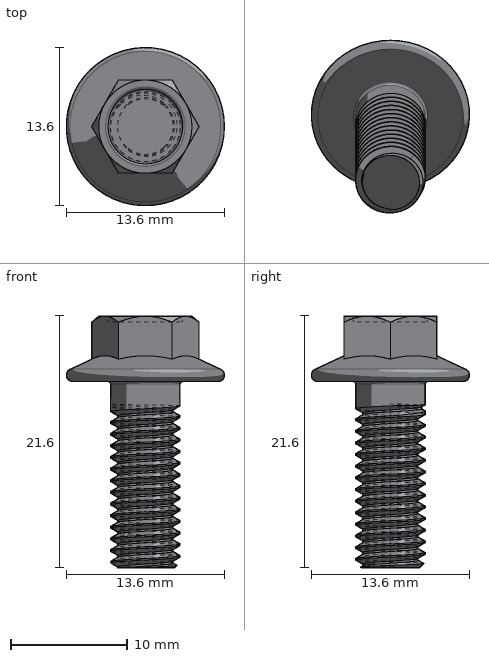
import cadquery as cq
import math

total_length = 21.63
head_bearing_z = 16.0

flange_radius = 13.6 / 2
rim_round = 0.56
flange_slope = math.radians(25)

across_flats = 8.0
head_chamfer_angle = math.radians(39.5)

recess_radius = 6.4 / 2
recess_depth = 0.5
recess_mouth_round = 0.22
recess_floor_round = 0.13

shank_radius = 6.0 / 2
neck_fillet = 0.205
tip_chamfer = 0.5

full_thread_end_z = 13.5
turns_above_tip = 13.5
pitch = full_thread_end_z / turns_above_tip
thread_depth = 0.6
flank_angle = math.radians(30)
crest_flat = pitch / 8
cutter_overhang = 0.06
turns_below_tip = 1.5
turns_per_length = 1
runout_turns = 0.5


def flange_and_shank():
    """Revolved body: chamfered tip, shank, neck fillet and conical flange with a rounded rim."""
    rim_center_x = flange_radius - rim_round
    rim_center_z = head_bearing_z + rim_round
    rim_top_x = rim_center_x + rim_round * math.sin(flange_slope)
    rim_top_z = rim_center_z + rim_round * math.cos(flange_slope)
    cone_top_radius = 0.4 * across_flats
    cone_top_z = rim_top_z + (rim_top_x - cone_top_radius) * math.tan(flange_slope)
    fillet_mid = neck_fillet * (1 - math.sqrt(0.5))
    return (
        cq.Workplane("XZ")
        .lineTo(shank_radius - tip_chamfer, 0)
        .lineTo(shank_radius, tip_chamfer)
        .lineTo(shank_radius, head_bearing_z - neck_fillet)
        .threePointArc(
            (shank_radius + fillet_mid, head_bearing_z - fillet_mid),
            (shank_radius + neck_fillet, head_bearing_z),
        )
        .lineTo(rim_center_x, head_bearing_z)
        .threePointArc((flange_radius, rim_center_z), (rim_top_x, rim_top_z))
        .lineTo(cone_top_radius, cone_top_z)
        .lineTo(0, cone_top_z)
        .close()
        .revolve(360, (0, 0), (0, 1))
    )


def hex_head():
    """Hexagon with corners on X, its top corners turned down to a cone."""
    flat_radius = across_flats / 2
    across_corners = across_flats / math.cos(math.pi / 6)
    base_z = head_bearing_z + rim_round
    prism = (
        cq.Workplane("XY", origin=(0, 0, base_z))
        .polygon(6, across_corners)
        .extrude(total_length - base_z)
    )
    turned_radius = across_corners
    turned_drop = (turned_radius - flat_radius) * math.tan(head_chamfer_angle)
    turned_envelope = (
        cq.Workplane("XZ")
        .moveTo(0, 0)
        .lineTo(turned_radius, 0)
        .lineTo(turned_radius, total_length - turned_drop)
        .lineTo(flat_radius, total_length)
        .lineTo(0, total_length)
        .close()
        .revolve(360, (0, 0), (0, 1))
    )
    return prism.intersect(turned_envelope)


def head_recess():
    """Shallow round recess with a rounded mouth and a rounded floor edge."""
    floor_z = total_length - recess_depth
    mouth_mid = recess_mouth_round * (1 - math.sqrt(0.5))
    floor_mid = recess_floor_round * (1 - math.sqrt(0.5))
    return (
        cq.Workplane("XZ")
        .moveTo(0, floor_z)
        .lineTo(recess_radius - recess_floor_round, floor_z)
        .threePointArc(
            (recess_radius - floor_mid, floor_z + floor_mid),
            (recess_radius, floor_z + recess_floor_round),
        )
        .lineTo(recess_radius, total_length - recess_mouth_round)
        .threePointArc(
            (recess_radius + mouth_mid, total_length - mouth_mid),
            (recess_radius + recess_mouth_round, total_length),
        )
        .lineTo(0, total_length)
        .close()
        .revolve(360, (0, 0), (0, 1))
    )


def end_cap(points):
    return cq.Face.makeFromWires(cq.Wire.makePolygon(points, close=True))


def helical_solid(corners, start_z, turns, radial_growth=0):
    """Solid swept by a polygon along a helix that may widen as it climbs."""
    rise = turns * pitch
    cone_angle = math.atan2(radial_growth, rise)
    slant = 1 / math.cos(cone_angle)
    helix_angle = math.degrees(cone_angle) or 360
    edges = []
    for radius, z in corners:
        center = cq.Vector(0, 0, start_z + z)
        helix = cq.Wire.makeHelix(pitch * slant, rise * slant, radius, center, angle=helix_angle)
        edges.append(helix.Edges()[0])
    faces = [cq.Face.makeRuledSurface(a, b) for a, b in zip(edges, edges[1:] + edges[:1])]
    faces.append(end_cap([edge.startPoint() for edge in edges]))
    faces.append(end_cap([edge.endPoint() for edge in edges]))
    return cq.Workplane(cq.Solid.makeSolid(cq.Shell.makeShell(faces)))


def cut_thread(body):
    """Cut a trapezoidal groove that starts below the tip and fades out of the shank over the runout."""
    root_radius = shank_radius - thread_depth
    outer_radius = shank_radius + cutter_overhang
    mouth_half = (pitch - crest_flat) / 2
    root_half = mouth_half - thread_depth * math.tan(flank_angle)
    outer_half = mouth_half + cutter_overhang * math.tan(flank_angle)
    corners = [
        (root_radius, -root_half),
        (outer_radius, -outer_half),
        (outer_radius, outer_half),
        (root_radius, root_half),
    ]
    length_count = round((turns_below_tip + turns_above_tip) / turns_per_length)
    for index in range(length_count):
        start_z = (index * turns_per_length - turns_below_tip) * pitch
        body = body.cut(helical_solid(corners, start_z, turns_per_length))
    runout_growth = thread_depth + cutter_overhang
    cutter_turns = runout_turns * runout_growth / thread_depth
    return body.cut(helical_solid(corners, full_thread_end_z, cutter_turns, runout_growth))


blank = flange_and_shank().union(hex_head()).cut(head_recess())
result = cut_thread(blank)